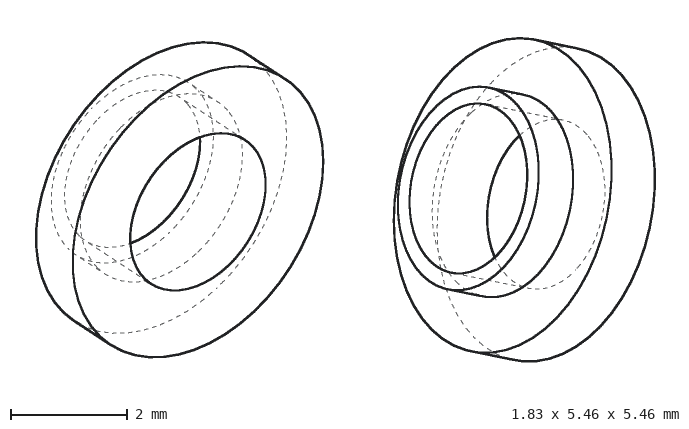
import cadquery as cq

total_length = 1.83
flange_thickness = 1.02
flange_diameter = 5.46
sleeve_diameter = 3.53
bore_diameter = 2.95

sleeve_length = total_length - flange_thickness

sleeve = cq.Workplane("YZ").circle(sleeve_diameter / 2).extrude(sleeve_length)

flange = (
    cq.Workplane("YZ", origin=(sleeve_length, 0, 0))
    .circle(flange_diameter / 2)
    .extrude(flange_thickness)
)

bore = cq.Workplane("YZ").circle(bore_diameter / 2).extrude(total_length)

result = sleeve.union(flange).cut(bore)